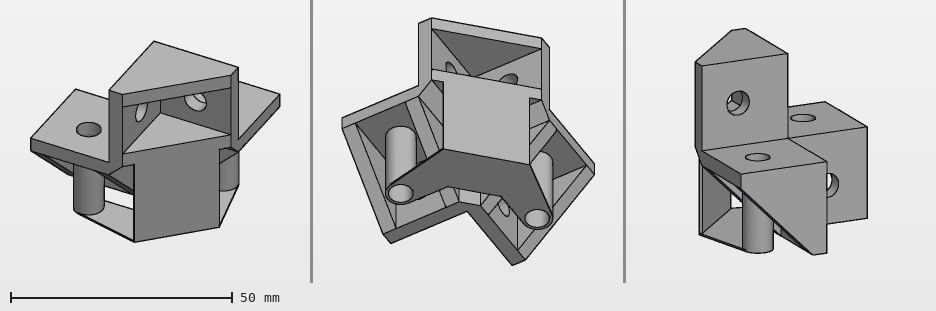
import cadquery as cq
import math

wall = 3.5
reach = 21.6
arm_length = 20.0
back_arm_length = 19.9
hole_diameter = 5.6
hole_offset = 12.47
hole_along = 9.98

sleeve_diameter = 7.0
foot_thickness = 0.4
panel_thickness = 0.8
foot_inner_distance = 6.45
foot_inner_width = 12.3

sleeve_radius = sleeve_diameter / 2
panel_face = (reach + wall) / math.sqrt(2)


def bracket(plane, length):
    """L-profile with a triangular gusset at both ends and a hole in each wall."""
    base = cq.Workplane(plane)
    gusset = [(0, 0), (reach, 0), (reach, wall), (wall, reach), (0, reach)]
    body = base.polyline(gusset).close().extrude(length)
    pocket = (
        base.workplane(offset=wall)
        .moveTo(wall, wall)
        .rect(reach, reach, centered=False)
        .extrude(length - 2 * wall)
    )
    hole_radius = hole_diameter / 2
    for start, direction in (
        (plane.toWorldCoords((hole_offset, 0, hole_along)), plane.yDir),
        (plane.toWorldCoords((0, hole_offset, hole_along)), plane.xDir),
    ):
        hole = cq.Solid.makeCylinder(hole_radius, wall, start, direction)
        pocket = pocket.union(cq.Workplane(hole))
    return body.cut(pocket)


def inner_bevel(plane):
    """Triangular strip filling the inner edge between two neighbouring gussets."""
    return cq.Workplane(plane).polyline([(0, 0), (wall, 0), (0, wall)]).close().extrude(reach)


def on_diagonal(along, outward):
    """XY point from its place along (1, 1) and its distance outward along (1, -1)."""
    return (along + outward) / math.sqrt(2), (along - outward) / math.sqrt(2)


def tangent_point(center, point, side):
    """Point where the line from point touches the sleeve circle around center."""
    dx = point[0] - center[0]
    dy = point[1] - center[1]
    angle = math.atan2(dy, dx) + side * math.acos(sleeve_radius / math.hypot(dx, dy))
    return center[0] + sleeve_radius * math.cos(angle), center[1] + sleeve_radius * math.sin(angle)


def mirrored(point):
    """Reflect an XY point across the symmetry line x = -y."""
    return -point[1], -point[0]


origin = (0, 0, 0)
up_plane = cq.Plane(origin, xDir=(0, -1, 0), normal=(0, 0, 1))
back_plane = cq.Plane(origin, xDir=(1, 0, 0), normal=(0, 1, 0))
left_plane = cq.Plane(origin, xDir=(0, 0, -1), normal=(-1, 0, 0))

corner = bracket(up_plane, arm_length)
corner = corner.union(bracket(back_plane, back_arm_length))
corner = corner.union(bracket(left_plane, arm_length))

for bevel_plane in (
    cq.Plane(origin, xDir=(1, 0, 0), normal=(0, 0, -1)),
    cq.Plane(origin, xDir=(0, -1, 0), normal=(1, 0, 0)),
    cq.Plane(origin, xDir=(0, 0, -1), normal=(0, -1, 0)),
):
    corner = corner.union(inner_bevel(bevel_plane))

junction = cq.Workplane("XY").box(wall, wall, wall, centered=False).translate((0, -wall, -wall))
oblique_plane = cq.Plane((wall, -wall, 0), normal=(1, -1, -1))
cut_size = 4 * wall
junction = junction.cut(cq.Workplane(oblique_plane).rect(cut_size, cut_size).extrude(wall))
corner = corner.union(junction)

floor_plane = cq.Workplane("XY").workplane(offset=-reach)

half_panel = arm_length / 2
panel_back = panel_face - panel_thickness
panel_outline = [
    on_diagonal(-half_panel, panel_back),
    on_diagonal(-half_panel, panel_face),
    on_diagonal(half_panel, panel_face),
    on_diagonal(half_panel, panel_back),
]
panel = floor_plane.polyline(panel_outline).close().extrude(reach)

left_hole = (-hole_along, -hole_offset)
right_hole = mirrored(left_hole)
outer_corner = on_diagonal(-half_panel, panel_face)
inner_corner = on_diagonal(-foot_inner_width / 2, foot_inner_distance)
outer_tangent = tangent_point(left_hole, outer_corner, -1)
inner_tangent = tangent_point(left_hole, inner_corner, 1)
far_direction = math.atan2(
    left_hole[1] - (outer_corner[1] + inner_corner[1]) / 2,
    left_hole[0] - (outer_corner[0] + inner_corner[0]) / 2,
)
far_point = (
    left_hole[0] + sleeve_radius * math.cos(far_direction),
    left_hole[1] + sleeve_radius * math.sin(far_direction),
)
foot = (
    floor_plane.moveTo(*inner_corner)
    .lineTo(*inner_tangent)
    .threePointArc(far_point, outer_tangent)
    .lineTo(*outer_corner)
    .lineTo(*mirrored(outer_corner))
    .lineTo(*mirrored(outer_tangent))
    .threePointArc(mirrored(far_point), mirrored(inner_tangent))
    .lineTo(*mirrored(inner_corner))
    .close()
    .extrude(foot_thickness)
)

hole_centers = [left_hole, right_hole]
sleeves = floor_plane.pushPoints(hole_centers).circle(sleeve_radius).extrude(reach - wall)
bores = floor_plane.pushPoints(hole_centers).circle(hole_diameter / 2).extrude(reach)

result = corner.union(panel).union(foot).union(sleeves).cut(bores)